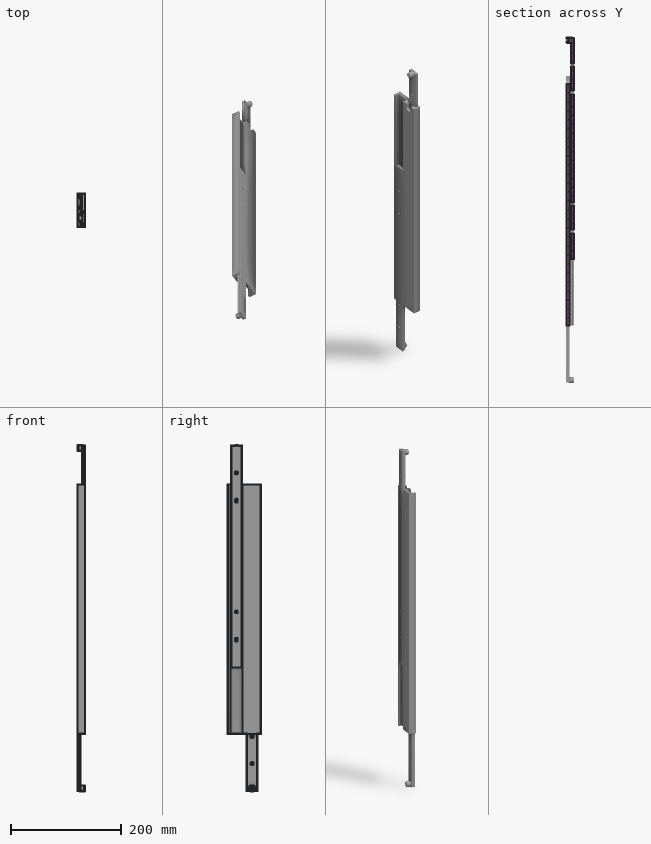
import cadquery as cq

SLIDE_THICKNESS = 14.0
SLIDE_WIDTH = 60.0
HALF_THICKNESS = SLIDE_THICKNESS / 2
TOTAL_HEIGHT = 625.19

PROFILE_LENGTH = 450.0
CHANNEL_CENTER_Y = 14.1
CHANNEL_FLOOR_OFFSET = 1.0
CHANNEL_MOUTH_WIDTH = 22.0
RACEWAY_SPAN = 25.0
NOTCH_WIDTH = 13.2
NOTCH_DEPTH = 13.5

RAIL_LENGTH = 400.0
RAIL_WIDTH = 19.5
RAIL_THICKNESS = 6.0
UPPER_RAIL_EXTENSION = 70.0

RACEWAY_OUTER = 5.0
RACEWAY_INNER = HALF_THICKNESS - RAIL_THICKNESS
RACEWAY_MIDDLE = (RACEWAY_OUTER + RACEWAY_INNER) / 2
RACEWAY_SAG = 1.0

HOLE_DIAMETER = 4.4
SLOT_LENGTH = 6.5
ROUND_HOLE_DISTANCES = (49.0, RAIL_LENGTH - 100.0)
SLOT_DISTANCES = (99.0, RAIL_LENGTH - 50.0)

BUFFER_DIAMETER = 11.0
BUFFER_OVERHANG = 1.2
BUFFER_SEAT_OFFSET = 2.5
BUFFER_CHAMFER_LENGTH = 1.8
BUFFER_CHAMFER_RISE = 1.0
BUFFER_BORE_DIAMETER = 4.0
BUFFER_BORE_DEPTH = 3.0

SLIDE_BOTTOM = -TOTAL_HEIGHT / 2
LOWER_RAIL_BOTTOM = SLIDE_BOTTOM + BUFFER_OVERHANG
UPPER_RAIL_TOP = -LOWER_RAIL_BOTTOM
PROFILE_TOP = UPPER_RAIL_TOP - UPPER_RAIL_EXTENSION
PROFILE_BOTTOM = PROFILE_TOP - PROFILE_LENGTH


def block(x_range, y_range, z_range):
    """Box spanning the given (low, high) ranges."""
    size = [high - low for low, high in (x_range, y_range, z_range)]
    corner = (x_range[0], y_range[0], z_range[0])
    return cq.Workplane("XY").box(*size, centered=False).translate(corner)


def make_channel():
    """Cutter for the channel that opens on the -X face, with an undercut raceway on each side."""
    mouth = CHANNEL_MOUTH_WIDTH / 2
    span = RACEWAY_SPAN / 2
    return (
        cq.Workplane("XY", origin=(0, CHANNEL_CENTER_Y, PROFILE_BOTTOM))
        .moveTo(-HALF_THICKNESS, -mouth)
        .lineTo(-RACEWAY_OUTER, -mouth)
        .threePointArc((-RACEWAY_MIDDLE, -span), (-RACEWAY_INNER, -mouth))
        .lineTo(CHANNEL_FLOOR_OFFSET, -mouth)
        .lineTo(CHANNEL_FLOOR_OFFSET, mouth)
        .lineTo(-RACEWAY_INNER, mouth)
        .threePointArc((-RACEWAY_MIDDLE, span), (-RACEWAY_OUTER, mouth))
        .lineTo(-HALF_THICKNESS, mouth)
        .close()
        .extrude(PROFILE_LENGTH)
    )


def make_notch():
    """Cutter for the round-bottomed notch in the top of the web beside the upper rail."""
    radius = NOTCH_WIDTH / 2
    straight_bottom = PROFILE_TOP - NOTCH_DEPTH + radius
    return (
        cq.Workplane("YZ", origin=(-HALF_THICKNESS, -CHANNEL_CENTER_Y, 0))
        .moveTo(-radius, PROFILE_TOP)
        .lineTo(-radius, straight_bottom)
        .threePointArc((0, PROFILE_TOP - NOTCH_DEPTH), (radius, straight_bottom))
        .lineTo(radius, PROFILE_TOP)
        .close()
        .extrude(HALF_THICKNESS - CHANNEL_FLOOR_OFFSET)
    )


def half_turn(shape):
    """Shape turned half a turn about the Z axis."""
    return shape.rotate((0, 0, 0), (0, 0, 1), 180)


def make_profile():
    channel = make_channel()
    bar = block(
        (-HALF_THICKNESS, HALF_THICKNESS),
        (-SLIDE_WIDTH / 2, SLIDE_WIDTH / 2),
        (PROFILE_BOTTOM, PROFILE_TOP),
    )
    return bar.cut(channel).cut(half_turn(channel)).cut(make_notch())


def make_rail():
    """Lower rail in place: on the -X side, with its buffer at the bottom end."""
    half = RAIL_WIDTH / 2
    bar = (
        cq.Workplane("XY", origin=(0, CHANNEL_CENTER_Y, LOWER_RAIL_BOTTOM))
        .moveTo(-HALF_THICKNESS, -half)
        .lineTo(-RACEWAY_OUTER, -half)
        .threePointArc((-RACEWAY_MIDDLE, RACEWAY_SAG - half), (-RACEWAY_INNER, -half))
        .lineTo(-RACEWAY_INNER, half)
        .threePointArc((-RACEWAY_MIDDLE, half - RACEWAY_SAG), (-RACEWAY_OUTER, half))
        .lineTo(-HALF_THICKNESS, half)
        .close()
        .extrude(RAIL_LENGTH)
    )
    face = cq.Workplane("YZ", origin=(-HALF_THICKNESS, CHANNEL_CENTER_Y, LOWER_RAIL_BOTTOM))
    round_holes = (
        face.pushPoints([(0, z) for z in ROUND_HOLE_DISTANCES])
        .circle(HOLE_DIAMETER / 2)
        .extrude(RAIL_THICKNESS)
    )
    slots = (
        face.pushPoints([(0, z) for z in SLOT_DISTANCES])
        .slot2D(SLOT_LENGTH, HOLE_DIAMETER, 90)
        .extrude(RAIL_THICKNESS)
    )
    seat = (-BUFFER_SEAT_OFFSET, CHANNEL_CENTER_Y, SLIDE_BOTTOM + BUFFER_DIAMETER / 2)
    buffer = (
        cq.Workplane("YZ", origin=seat)
        .circle(BUFFER_DIAMETER / 2)
        .extrude(HALF_THICKNESS + BUFFER_SEAT_OFFSET)
        .faces(">X")
        .chamfer(BUFFER_CHAMFER_LENGTH, BUFFER_CHAMFER_RISE)
        .faces(">X")
        .workplane()
        .hole(BUFFER_BORE_DIAMETER, BUFFER_BORE_DEPTH)
    )
    return bar.cut(round_holes).cut(slots).union(buffer)


profile = make_profile()

lower_rail = make_rail()
upper_rail = half_turn(lower_rail).mirror("XY")

result = cq.Compound.makeCompound(
    [body.solids().val() for body in (profile, lower_rail, upper_rail)]
)